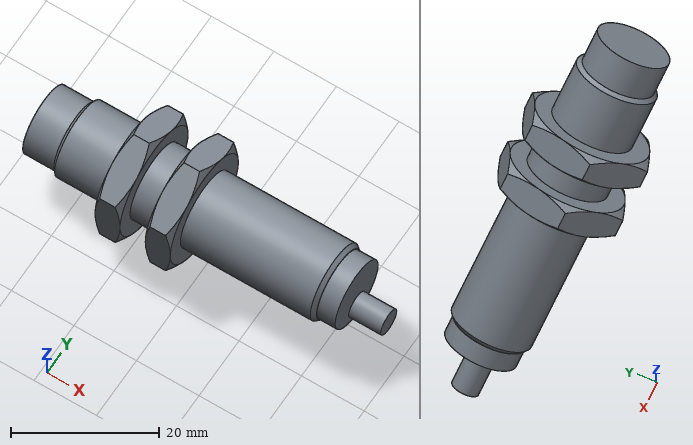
import cadquery as cq
import math

total_length = 55.1
body_diameter = 12.0
end_diameter = 10.75
rear_shoulder_diameter = 10.95
front_cap_length = 5.0
front_chamfer_length = 0.5
rear_chamfer_length = 0.65
rear_cap_length = 2.9

cable_diameter = 4.0
cable_length = 5.1
cable_drop = 2.7

nut_across_flats = 17.0
nut_thickness = 4.0
nut_chamfer_angle = 30.0
nut_positions = (13.55, 21.6)

front_x = -total_length / 2
rear_x = total_length / 2 - cable_length


def make_body():
    """Revolve the stepped barrel with its conical shoulders about X."""
    end_radius = end_diameter / 2
    body_radius = body_diameter / 2
    front_shoulder_x = front_x + front_cap_length
    rear_shoulder_x = rear_x - rear_cap_length
    profile = (
        cq.Workplane("XY")
        .moveTo(front_x, 0)
        .lineTo(front_x, end_radius)
        .lineTo(front_shoulder_x, end_radius)
        .lineTo(front_shoulder_x + front_chamfer_length, body_radius)
        .lineTo(rear_shoulder_x - rear_chamfer_length, body_radius)
        .lineTo(rear_shoulder_x, rear_shoulder_diameter / 2)
        .lineTo(rear_shoulder_x, end_radius)
        .lineTo(rear_x, end_radius)
        .lineTo(rear_x, 0)
        .close()
    )
    return profile.revolve(360, (0, 0, 0), (1, 0, 0))


def make_nut(start_x):
    """Hexagonal nut with corners on Z and conical chamfers on both faces."""
    corner_radius = nut_across_flats / 2 / math.cos(math.pi / 6)
    face_radius = nut_across_flats / 2
    chamfer_length = (corner_radius - face_radius) * math.tan(math.radians(nut_chamfer_angle))
    end_x = start_x + nut_thickness
    corners = [
        (corner_radius * math.sin(math.radians(angle)), corner_radius * math.cos(math.radians(angle)))
        for angle in range(0, 360, 60)
    ]
    hexagon = cq.Workplane("YZ", origin=(start_x, 0, 0)).polyline(corners).close().extrude(nut_thickness)
    chamfer_envelope = (
        cq.Workplane("XY")
        .moveTo(start_x, 0)
        .lineTo(start_x, face_radius)
        .lineTo(start_x + chamfer_length, corner_radius)
        .lineTo(end_x - chamfer_length, corner_radius)
        .lineTo(end_x, face_radius)
        .lineTo(end_x, 0)
        .close()
        .revolve(360, (0, 0, 0), (1, 0, 0))
    )
    return hexagon.intersect(chamfer_envelope)


def make_cable():
    """Cable stub running from the rear face to the end of the part."""
    return (
        cq.Workplane("YZ", origin=(rear_x, 0, -cable_drop))
        .circle(cable_diameter / 2)
        .extrude(cable_length)
    )


result = make_body().union(make_cable())
for position in nut_positions:
    result = result.union(make_nut(front_x + position))